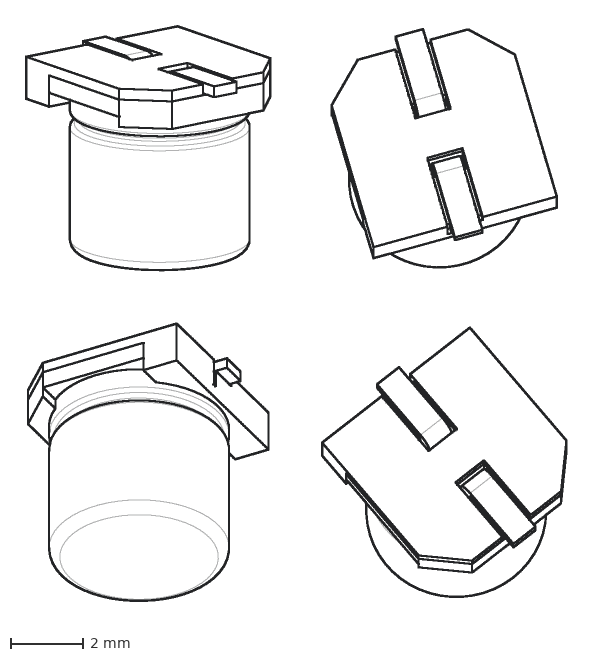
import cadquery as cq


overall_length = 6.0
overall_height = 5.4

base_side = 5.3
corner_chamfer = 1.055
plate_thickness = 0.81
cover_thickness = 0.31
wall_thickness = 1.055
left_wall_height = 1.21
right_wall_height = 1.105

can_radius = 2.5
bottom_fillet = 0.3
groove_top_depth = 1.39
groove_depth = 0.25
groove_flank_height = 0.205
groove_floor_width = 0.09

terminal_width = 0.79
terminal_thickness = cover_thickness
terminal_inner_x = 0.695
bend_radius = 0.395
slot_width = 1.015
slot_inner_x = 0.595

half_side = base_side / 2
wall_inner_x = wall_thickness - half_side
bend_start_x = terminal_inner_x + bend_radius


def box(x_start, x_end, y_start, y_end, z_bottom, z_top):
    """Axis-aligned block between the given limits."""
    size = (x_end - x_start, y_end - y_start, z_top - z_bottom)
    return cq.Workplane("XY").box(*size, centered=False).translate((x_start, y_start, z_bottom))


def chamfered_plate(x_start, z_bottom, z_top):
    """Plate from x_start to the +X edge, chamfered at the +X corners."""
    plate = box(-half_side, half_side, -half_side, half_side, z_bottom, z_top)
    plate = plate.edges("|Z and >X").chamfer(corner_chamfer)
    return plate.intersect(box(x_start, half_side, -half_side, half_side, z_bottom, z_top))


def make_slot():
    """Slot that lets the +X terminal reach the open edge of the cover."""
    return box(slot_inner_x, half_side, -slot_width / 2, slot_width / 2, -cover_thickness, 0)


def make_tongue():
    """Part of the seat slab that reaches into the -X wall of the cover."""
    return box(-can_radius, wall_inner_x, -slot_width / 2, slot_width / 2,
               -plate_thickness, -cover_thickness)


def make_cover():
    """Top plate with a deep wall along the -X edge."""
    plate = chamfered_plate(-half_side, -cover_thickness, 0)
    wall = box(-half_side, wall_inner_x, -half_side, half_side, -left_wall_height, 0)
    cover = plate.union(wall)

    recess = cq.Workplane("XY").workplane(offset=-left_wall_height).circle(can_radius)
    cover = cover.cut(recess.extrude(left_wall_height - plate_thickness))

    slot = make_slot()
    cover = cover.cut(slot).cut(slot.mirror("YZ")).cut(make_tongue())

    notch = box(-half_side, -can_radius, terminal_width / 2, slot_width / 2, -plate_thickness, 0)
    return cover.cut(notch)


def make_seat():
    """Slab under the cover, with its +X wall, its tongue and the terminal pockets."""
    slab = chamfered_plate(wall_inner_x, -plate_thickness, -cover_thickness)
    rim = chamfered_plate(half_side - wall_thickness, -right_wall_height, -plate_thickness)
    pocket = box(slot_inner_x, bend_start_x, -slot_width / 2, slot_width / 2,
                 -plate_thickness, -cover_thickness)
    seat = slab.union(make_tongue()).cut(pocket).cut(pocket.mirror("YZ"))
    return seat.union(rim)


def make_can():
    """Round can with a rolled groove and a rounded closed end."""
    neck_radius = can_radius - groove_depth
    middle_radius = can_radius - groove_depth / 2
    groove_top = -groove_top_depth
    floor_top = groove_top - groove_flank_height
    floor_bottom = floor_top - groove_floor_width
    groove_bottom = floor_bottom - groove_flank_height
    upper_middle = groove_top - groove_flank_height / 2
    lower_middle = groove_bottom + groove_flank_height / 2

    flank_round = (groove_depth**2 + groove_flank_height**2) / (4 * groove_depth)

    profile = (
        cq.Workplane("XZ")
        .moveTo(0, -plate_thickness)
        .lineTo(can_radius, -plate_thickness)
        .lineTo(can_radius, groove_top)
        .radiusArc((middle_radius, upper_middle), flank_round)
        .radiusArc((neck_radius, floor_top), -flank_round)
        .lineTo(neck_radius, floor_bottom)
        .radiusArc((middle_radius, lower_middle), -flank_round)
        .radiusArc((can_radius, groove_bottom), flank_round)
        .lineTo(can_radius, bottom_fillet - overall_height)
        .radiusArc((can_radius - bottom_fillet, -overall_height), bottom_fillet)
        .lineTo(0, -overall_height)
        .close()
    )
    return profile.revolve(360, (0, 0, 0), (0, 1, 0))


def make_terminal():
    """Bent +X terminal: a leg standing on the can and a foot running outward."""
    profile = (
        cq.Workplane("XZ")
        .moveTo(terminal_inner_x, -plate_thickness)
        .lineTo(terminal_inner_x, -bend_radius)
        .radiusArc((bend_start_x, 0), bend_radius)
        .lineTo(overall_length / 2, 0)
        .lineTo(overall_length / 2, -terminal_thickness)
        .lineTo(bend_start_x, -terminal_thickness)
        .lineTo(bend_start_x, -plate_thickness)
        .close()
    )
    return profile.extrude(terminal_width / 2, both=True)


def make_capacitor():
    """Seat, can and both terminals as one solid."""
    terminal = make_terminal()
    return make_can().union(make_seat()).union(terminal).union(terminal.mirror("YZ"))


cover = make_cover()
capacitor = make_capacitor()

result = cq.Compound.makeCompound([cover.solids().val(), capacitor.solids().val()])